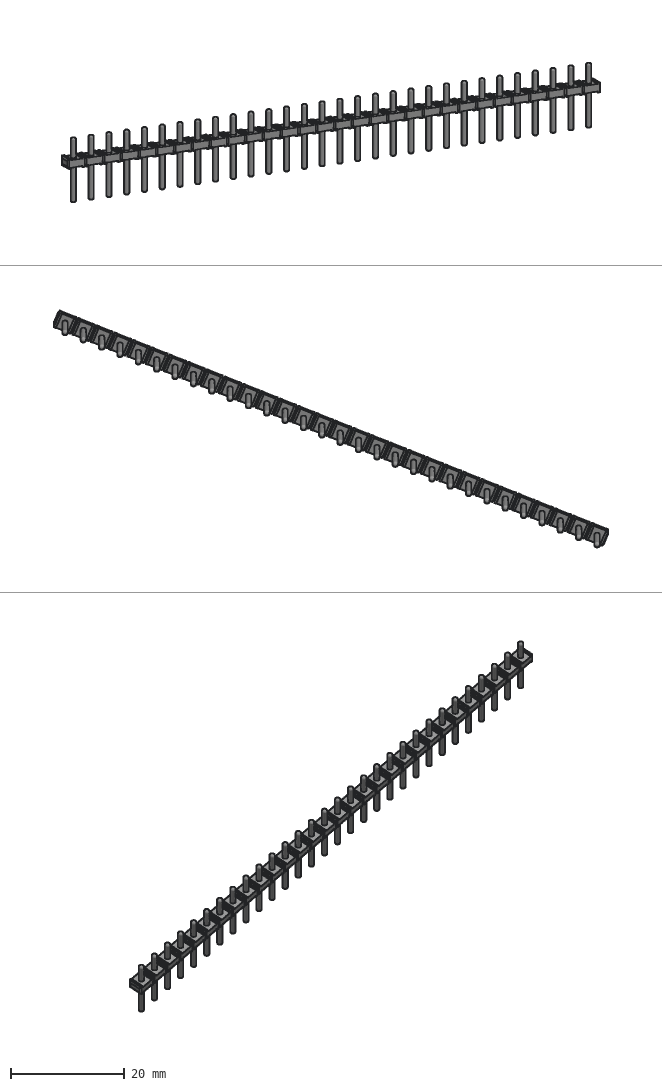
import cadquery as cq
import math

pin_count = 30
pitch = 3.5

body_width = 2.8
body_height = 1.8
bevel_run = 0.2
bevel_depth = 0.4
recess_length = 2.3
recess_depth = 0.2

pin_radius = 0.5
pin_length = 12.0
pin_top = 4.4
pin_bottom = pin_top - pin_length
dome_height = 0.4


def bevelled_prism(plane, size, length):
    """Prism over a pitch-long rectangle whose four corners are cut by the end bevels."""
    edge = size / 2
    end_edge = edge - bevel_depth
    half_pitch = pitch / 2
    bevel_start = half_pitch - bevel_run
    outline = [
        (edge, bevel_start),
        (end_edge, half_pitch),
        (-end_edge, half_pitch),
        (-edge, bevel_start),
        (-edge, -bevel_start),
        (-end_edge, -half_pitch),
        (end_edge, -half_pitch),
        (edge, -bevel_start),
    ]
    return cq.Workplane(plane).polyline(outline).close().extrude(length / 2, both=True)


def carrier_block():
    """Block with all edges of its Y ends bevelled and a flat recess in its top and bottom."""
    block = bevelled_prism("XY", body_width, body_height)
    block = block.intersect(bevelled_prism("ZY", body_height, body_width))
    cutter = cq.Workplane("XY").box(body_width, recess_length, 2 * recess_depth)
    for face_z in (body_height / 2, -body_height / 2):
        block = block.cut(cutter.translate((0, 0, face_z)))
    return block


def pin():
    """Round pin with a spherical cap at both ends."""
    sphere_radius = (pin_radius**2 + dome_height**2) / (2 * dome_height)
    half_cap_angle = math.asin(pin_radius / sphere_radius) / 2
    arc_x = sphere_radius * math.sin(half_cap_angle)
    arc_drop = sphere_radius * (1 - math.cos(half_cap_angle))
    profile = (
        cq.Workplane("XZ")
        .moveTo(0, pin_bottom)
        .threePointArc((arc_x, pin_bottom + arc_drop), (pin_radius, pin_bottom + dome_height))
        .lineTo(pin_radius, pin_top - dome_height)
        .threePointArc((arc_x, pin_top - arc_drop), (0, pin_top))
        .close()
    )
    return profile.revolve(360, (0, 0, 0), (0, 1, 0))


def strip():
    """All blocks with their pins, joined end to end and centred along Y."""
    unit = carrier_block().union(pin())
    first_y = -(pin_count - 1) * pitch / 2
    units = [unit.translate((0, first_y + index * pitch, 0)).val() for index in range(pin_count)]
    return cq.Workplane("XY").newObject([units[0].fuse(*units[1:])])


result = strip().solids()